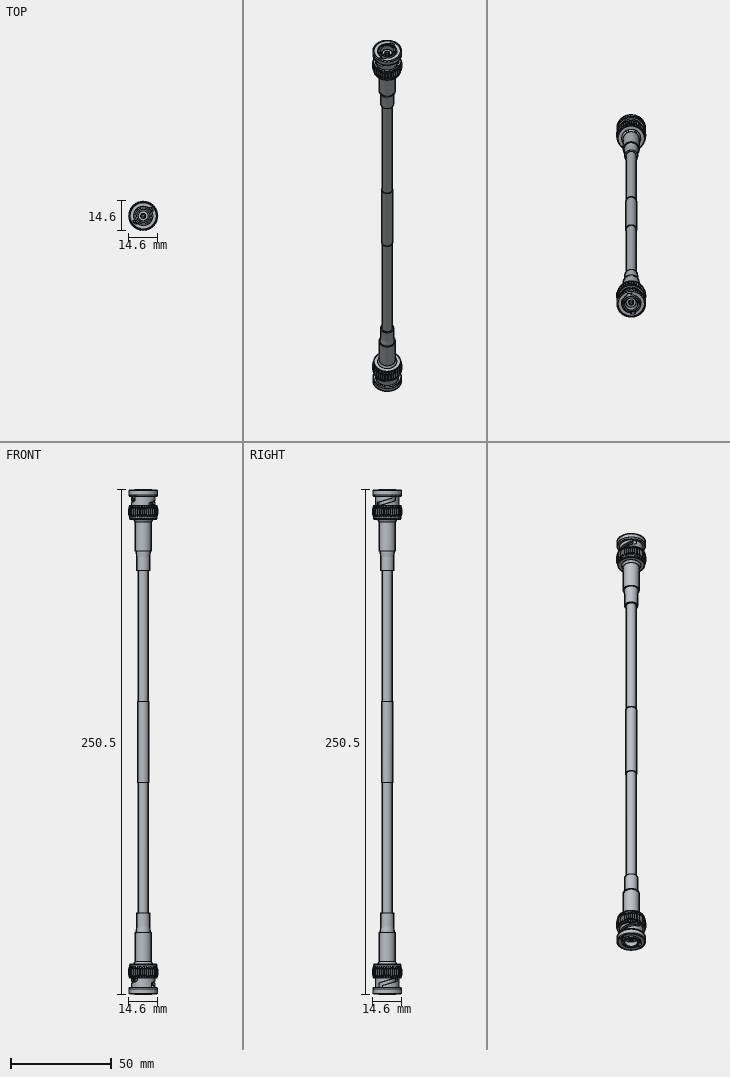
import cadquery as cq
import math


LENGTH = 250.5
HALF_LENGTH = LENGTH / 2

CABLE_R = 2.5
LABEL_R = 2.8
LABEL_LENGTH = 40.0

GRIP_R = 7.3
RIM_R = 7.14
COLLAR_R = 6.8
REAR_R = 6.5
FACE_R = 6.5
FACE_DEPTH = 0.3
WAIST_R = 5.88
BORE_R = 4.8
RIM_START = 0.5
RIM_END = 2.8
FLANGE_END = 3.5
WAIST_END = 8.0
GRIP_START = 9.8
GRIP_END = 12.3
KNURL_END = 13.8
REAR_CHAMFER = 0.5
NUT_END = 15.0
NUT_WALL = 3.8
KNURL_COUNT = 36

SLOT_COUNT = 2
SLOT_WIDTH = 1.8
ENTRY_Y = -3.3
ENTRY_TURN = 5.0
SLOT_END_Y = 4.3
SLOT_END_DEPTH = 7.3
ENTRY_GROOVE_R = 5.5

BARREL_R = 4.0
BARREL_CHAMFER_R = 4.8
BARREL_CHAMFER_END = 16.3
BARREL_END = 30.5
CONTACT_BORE_R = 3.3
CONTACT_START = 0.0
CONTACT_FLOOR = 10.0
INSULATOR_R = 2.5
INSULATOR_BORE_R = 1.3
INSULATOR_START = 2.0
PIN_R = 0.63
PIN_START = 1.3

CRIMP_RING_R = 3.5
CRIMP_R = 3.3
CRIMP_RING_END = 31.5
CRIMP_CONE_END = 33.5
CRIMP_END = 40.3


def height(depth):
    """Z of a point at the given depth behind the front face of the upper plug."""
    return HALF_LENGTH - depth


def turned(profile):
    """Solid of revolution about Z from (radius, depth) corners."""
    corners = [(radius, height(depth)) for radius, depth in profile]
    return cq.Workplane("XZ").polyline(corners).close().revolve(360, (0, 0), (0, 1))


def cylinder(radius, start, end):
    """Cylinder on the axis between two depths."""
    return cq.Workplane("XY", origin=(0, 0, height(end))).circle(radius).extrude(end - start)


def knurl_cutter():
    """Ring of V grooves for the grip band of the nut."""
    half_pitch = math.pi / KNURL_COUNT
    tips = []
    for i in range(KNURL_COUNT):
        crest = 2 * i * half_pitch
        root = crest + half_pitch
        tips.append((GRIP_R * math.cos(crest), GRIP_R * math.sin(crest)))
        tips.append((COLLAR_R * math.cos(root), COLLAR_R * math.sin(root)))
    base = cq.Workplane("XY", origin=(0, 0, height(KNURL_END)))
    band_length = KNURL_END - WAIST_END
    star = base.polyline(tips).close().extrude(band_length)
    return base.circle(2 * GRIP_R).extrude(band_length).cut(star)


def bayonet_slot():
    """Cutter for one slot through the nut wall on the -X side."""
    start = (ENTRY_Y, height(ENTRY_TURN))
    end = (SLOT_END_Y, height(SLOT_END_DEPTH))
    run = math.dist(start, end)
    slope = math.degrees(math.atan2(end[1] - start[1], end[0] - start[0]))
    middle = ((start[0] + end[0]) / 2, (start[1] + end[1]) / 2)
    slant = cq.Workplane("YZ").center(*middle).slot2D(run + SLOT_WIDTH, SLOT_WIDTH, slope).extrude(-GRIP_R)
    entry_length = ENTRY_TURN - FLANGE_END
    entry = (
        cq.Workplane("YZ")
        .center(ENTRY_Y, height(ENTRY_TURN - entry_length / 2))
        .rect(SLOT_WIDTH, entry_length)
        .extrude(-GRIP_R)
    )
    groove = cylinder(ENTRY_GROOVE_R, 0, ENTRY_TURN).intersect(
        cq.Workplane("XY")
        .box(RIM_R, SLOT_WIDTH, ENTRY_TURN, centered=(False, True, False))
        .translate((-RIM_R, ENTRY_Y, height(ENTRY_TURN)))
    )
    return slant.union(entry).union(groove)


def coupling_nut():
    nut = turned(
        [
            (BORE_R, FACE_DEPTH),
            (FACE_R, FACE_DEPTH),
            (RIM_R, RIM_START),
            (RIM_R, RIM_END),
            (COLLAR_R, FLANGE_END),
            (WAIST_R, FLANGE_END),
            (WAIST_R, WAIST_END),
            (COLLAR_R, WAIST_END),
            (GRIP_R, GRIP_START),
            (GRIP_R, GRIP_END),
            (COLLAR_R, KNURL_END),
            (COLLAR_R, NUT_END - REAR_CHAMFER),
            (REAR_R, NUT_END),
            (BARREL_R, NUT_END),
            (BARREL_R, NUT_END - NUT_WALL),
            (BORE_R, NUT_END - NUT_WALL),
        ]
    )
    nut = nut.cut(knurl_cutter())
    for i in range(SLOT_COUNT):
        nut = nut.cut(bayonet_slot().rotate((0, 0, 0), (0, 0, 1), i * 360 / SLOT_COUNT))
    return nut


def plug_body():
    return turned(
        [
            (0, PIN_START),
            (PIN_R, PIN_START),
            (PIN_R, CONTACT_FLOOR),
            (INSULATOR_BORE_R, CONTACT_FLOOR),
            (INSULATOR_BORE_R, INSULATOR_START),
            (INSULATOR_R, INSULATOR_START),
            (INSULATOR_R, CONTACT_FLOOR),
            (CONTACT_BORE_R, CONTACT_FLOOR),
            (CONTACT_BORE_R, CONTACT_START),
            (BARREL_R, CONTACT_START),
            (BARREL_R, NUT_END),
            (BARREL_CHAMFER_R, NUT_END),
            (BARREL_R, BARREL_CHAMFER_END),
            (BARREL_R, BARREL_END),
            (0, BARREL_END),
        ]
    )


def crimp_sleeve():
    return turned(
        [
            (CABLE_R, BARREL_END),
            (CRIMP_RING_R, BARREL_END),
            (CRIMP_RING_R, CRIMP_RING_END),
            (CRIMP_R, CRIMP_CONE_END),
            (CRIMP_R, CRIMP_END),
            (CABLE_R, CRIMP_END),
        ]
    )


def both_ends(upper):
    """The upper part and its copy turned end for end about X."""
    return [upper.rotate((0, 0, 0), (1, 0, 0), angle).val() for angle in (0, 180)]


cable = cylinder(CABLE_R, BARREL_END, LENGTH - BARREL_END)

label_start = HALF_LENGTH - LABEL_LENGTH / 2
label_end = HALF_LENGTH + LABEL_LENGTH / 2
label_sleeve = cylinder(LABEL_R, label_start, label_end).cut(cylinder(CABLE_R, label_start, label_end))

nuts = both_ends(coupling_nut())
bodies = both_ends(plug_body())
crimps = both_ends(crimp_sleeve())

result = cq.Compound.makeCompound([cable.val(), label_sleeve.val(), *nuts, *bodies, *crimps])